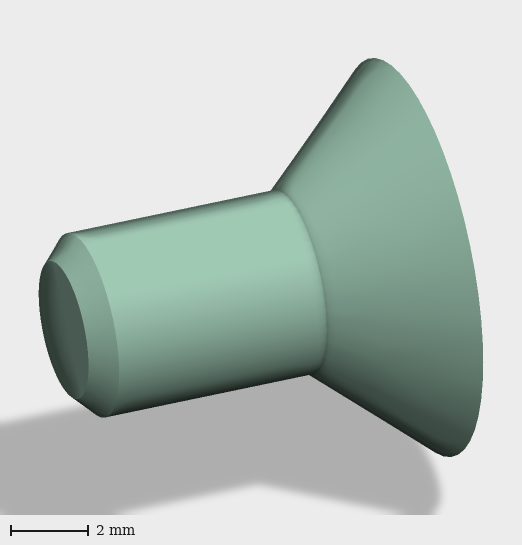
import cadquery as cq
import math

head_diameter = 10.44
head_angle = 82.0
shank_diameter = 4.83
overall_length = 9.53
tip_chamfer = 0.61

head_radius = head_diameter / 2
shank_radius = shank_diameter / 2
head_height = (head_radius - shank_radius) / math.tan(math.radians(head_angle / 2))


def make_head():
    """Sharp-edged cone that narrows from the head face to the shank."""
    profile = (
        cq.Workplane("XY")
        .polyline([(0, 0), (head_radius, 0), (shank_radius, -head_height), (0, -head_height)])
        .close()
    )
    return profile.revolve(360, (0, 0, 0), (0, 1, 0))


def make_shank():
    """Plain cylinder from the base of the head to the chamfered tip."""
    shank_length = overall_length - head_height
    shank = (
        cq.Workplane("XZ", origin=(0, -head_height, 0))
        .circle(shank_radius)
        .extrude(shank_length)
    )
    return shank.faces("<Y").chamfer(tip_chamfer)


result = make_head().union(make_shank())